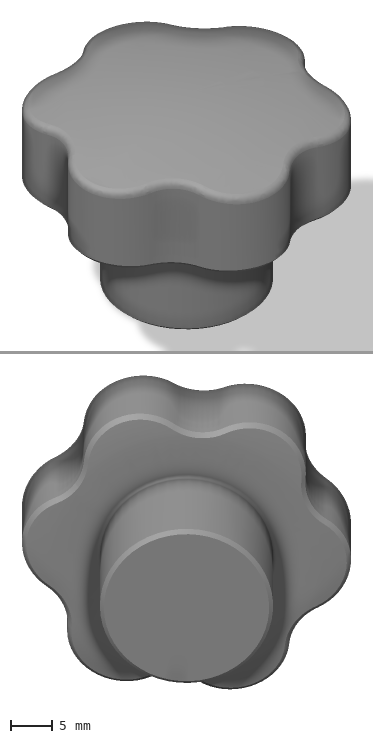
import cadquery as cq
import math

lobe_count = 6
overall_width = 40.0
lobe_radius = 7.0
valley_radius = 6.0
lobe_pitch_radius = overall_width / 2 - lobe_radius

overall_height = 28.0
head_base = 13.9
dome_radius = 79.98
top_fillet = 1.0

underside_crest_radius = 14.0
underside_arc_radius = 32.0
underside_chamfer = 0.5

hub_diameter = 21.0
hub_chamfer = 0.48
hub_fillet = 0.4


def polar(radius, angle):
    return (radius * math.cos(angle), radius * math.sin(angle))


def star_prism():
    """Prism whose convex lobes run tangentially into concave valleys."""
    half_step = math.pi / lobe_count
    half_chord = lobe_pitch_radius * math.sin(half_step)
    center_distance = lobe_radius + valley_radius
    valley_pitch_radius = lobe_pitch_radius * math.cos(half_step) + math.sqrt(
        center_distance**2 - half_chord**2
    )

    lobe_center = (lobe_pitch_radius, 0.0)
    valley_center = polar(valley_pitch_radius, half_step)
    share = lobe_radius / center_distance
    joint_x = lobe_center[0] + share * (valley_center[0] - lobe_center[0])
    joint_y = share * valley_center[1]
    joint_radius = math.hypot(joint_x, joint_y)
    joint_angle = math.atan2(joint_y, joint_x)

    outline = cq.Workplane("XY").moveTo(*polar(joint_radius, -joint_angle))
    for lobe in range(lobe_count):
        lobe_angle = 2 * half_step * lobe
        next_angle = lobe_angle + 2 * half_step
        outline = outline.threePointArc(
            polar(overall_width / 2, lobe_angle),
            polar(joint_radius, lobe_angle + joint_angle),
        )
        outline = outline.threePointArc(
            polar(valley_pitch_radius - valley_radius, lobe_angle + half_step),
            polar(joint_radius, next_angle - joint_angle),
        )
    return outline.close().extrude(overall_height)


def underside_height(radius):
    sagitta = underside_arc_radius - math.sqrt(
        underside_arc_radius**2 - (radius - underside_crest_radius) ** 2
    )
    return head_base + sagitta


def head_envelope():
    """Revolved blank with a domed top and a gently bulged underside, lowest along a ring around the hub."""
    blank_radius = overall_width / 2 + 0.4
    core_radius = hub_diameter / 2 - 0.4

    def dome_height(radius):
        return overall_height - dome_radius + math.sqrt(dome_radius**2 - radius**2)

    return (
        cq.Workplane("YZ")
        .moveTo(0, underside_height(core_radius))
        .lineTo(core_radius, underside_height(core_radius))
        .threePointArc(
            (underside_crest_radius, head_base),
            (blank_radius, underside_height(blank_radius)),
        )
        .lineTo(blank_radius, dome_height(blank_radius))
        .threePointArc(
            (blank_radius / 2, dome_height(blank_radius / 2)),
            (0, overall_height),
        )
        .close()
        .revolve(360, (0, 0, 0), (0, 1, 0))
    )


def star_head():
    head = star_prism().intersect(head_envelope())
    head = head.faces(">Z").edges().fillet(top_fillet)
    reach = overall_width
    wall_bottom = underside_height(overall_width / 2)
    lower_rim = cq.selectors.BoxSelector(
        (-reach, -reach, head_base), (reach, reach, wall_bottom + 0.4)
    )
    return head.edges(lower_rim).edges("not %CIRCLE").chamfer(underside_chamfer)


def hub():
    """Chamfered boss, blended into the underside by a tangent root fillet."""
    hub_radius = hub_diameter / 2
    arc_center_z = head_base + underside_arc_radius
    fillet_x = hub_radius + hub_fillet
    offset = underside_crest_radius - fillet_x
    span = underside_arc_radius + hub_fillet
    tilt = math.asin(offset / span)
    fillet_z = arc_center_z - span * math.cos(tilt)

    def fillet_point(angle):
        """Point on the fillet, with the angle measured from +Z toward the hub axis."""
        return (fillet_x - hub_fillet * math.sin(angle), fillet_z + hub_fillet * math.cos(angle))

    tangent_x, tangent_z = fillet_point(-tilt)
    overlap_z = tangent_z + 0.4
    return (
        cq.Workplane("YZ")
        .lineTo(hub_radius - hub_chamfer, 0)
        .lineTo(hub_radius, hub_chamfer)
        .lineTo(hub_radius, fillet_z)
        .threePointArc(fillet_point((math.pi / 2 - tilt) / 2), (tangent_x, tangent_z))
        .lineTo(tangent_x, overlap_z)
        .lineTo(0, overlap_z)
        .close()
        .revolve(360, (0, 0, 0), (0, 1, 0))
    )


result = star_head().union(hub())